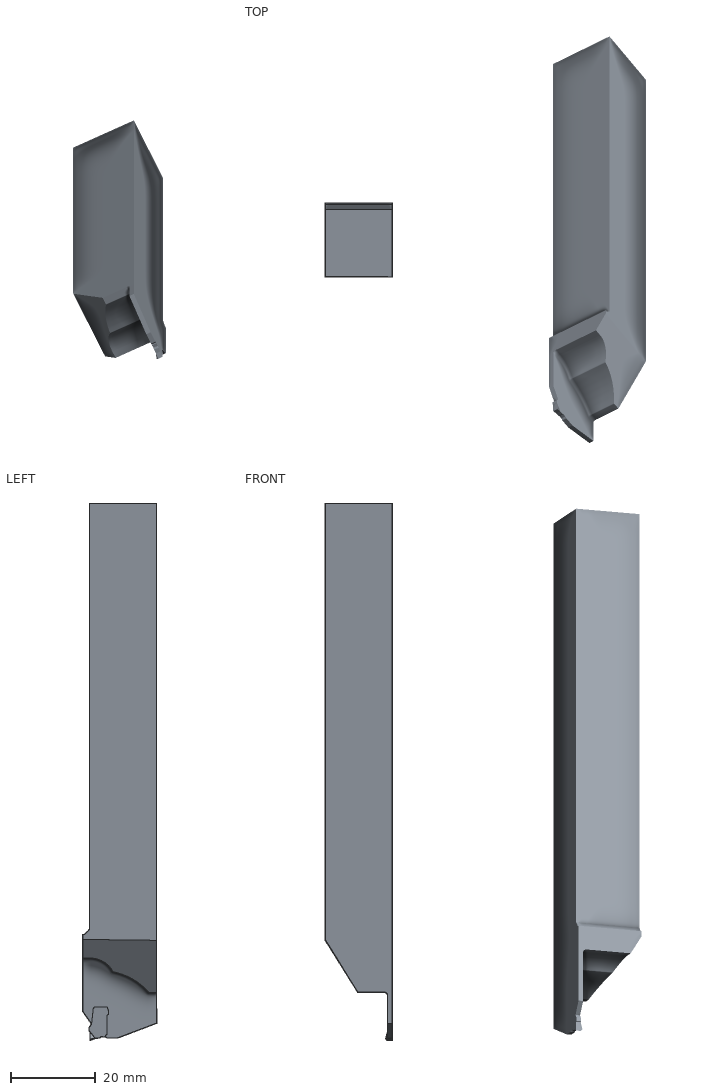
import cadquery as cq


shank_size = 15.88
overall_length = 127.0
overall_width = 17.56
blade_bulge = 0.05
head_y = overall_width - blade_bulge
head_top_z = 25.1
head_root_chamfer = 1.2

slope_top_z = 23.7
slope_tilt = 0.7
slope_end_x = 7.7

blade_thickness = 1.15
blade_x = shank_size - blade_thickness
blade_fillet = 0.8
blade_back_z = 4.1
blade_bottom_z = 0.6
blade_bottom_y = 9.2
blade_nose_z = 6.9

low_ledge_end = (1.88, 11.4)
long_arc_mid = (5.7, 14.55)
arc_corner = (10.33, 16.25)
high_ledge_start = (15.7, 19.5)
kink_radius = 0.3
low_ledge_z = low_ledge_end[1]
high_ledge_z = high_ledge_start[1]

seat_front = (15.4, 3.9)
seat_back_y = 11.8
insert_top_z = 8.0
insert_top_front_y = 14.7
insert_top_back_y = 11.75
front_bevel = (15.0, 7.5)
back_lug_y = 11.35
back_lug_z = (7.0, 6.3, 5.9)
heel_z = 1.5
heel = (12.3, 0.8)
heel_step = (13.1, 0.9)
heel_toe = (13.5, 0.6)
flank_root = (14.5, 0.5)
cutting_corner = (15.8, 0.0)
rake_top = (15.8, 2.1)
lip_y = 16.0
lip_z = (2.3, 3.1)
flare_width = 0.45
flare_tip = (15.8, 0.4)

clearance = 1.0


def prism_x(outline, x_start, x_end):
    """Extrude a closed (Y, Z) outline between two X positions."""
    return outline.extrude(x_end - x_start).translate((x_start, 0, 0))


def tetrahedron(corners):
    """Solid with four triangular faces."""
    faces = []
    for left_out in range(len(corners)):
        triangle = [cq.Vector(*c) for i, c in enumerate(corners) if i != left_out]
        faces.append(cq.Face.makeFromWires(cq.Wire.makePolygon(triangle, close=True)))
    return cq.Solid.makeSolid(cq.Shell.makeShell(faces))


def make_insert():
    lug_top_z, lug_bottom_z, lug_root_z = back_lug_z
    lip_bottom_z, lip_top_z = lip_z
    outline = cq.Workplane("YZ").polyline([
        seat_front,
        front_bevel,
        (insert_top_front_y, insert_top_z),
        (insert_top_back_y, insert_top_z),
        (back_lug_y, lug_top_z),
        (back_lug_y, lug_bottom_z),
        (seat_back_y, lug_root_z),
        (seat_back_y, heel_z),
        heel,
        heel_step,
        heel_toe,
        flank_root,
        cutting_corner,
        rake_top,
        (lip_y, lip_bottom_z),
        (lip_y, lip_top_z),
    ]).close()
    body = prism_x(outline, blade_x, shank_size)

    flare = tetrahedron([
        (blade_x, *rake_top),
        (blade_x, *flank_root),
        (blade_x, *cutting_corner),
        (blade_x - flare_width, *flare_tip),
    ])
    return body.union(cq.Workplane(flare))


def make_blank():
    """Full-thickness side profile of the shank, head and blade."""
    outline = (
        cq.Workplane("YZ")
        .moveTo(0, overall_length)
        .lineTo(0, low_ledge_z)
        .tangentArcPoint((-blade_bulge, blade_back_z), relative=False)
        .lineTo(blade_bottom_y, blade_bottom_z)
        .lineTo(seat_back_y, blade_bottom_z)
        .lineTo(*seat_front)
        .lineTo(head_y, blade_nose_z)
        .lineTo(head_y, head_top_z)
        .lineTo(shank_size + head_root_chamfer, head_top_z)
        .lineTo(shank_size, head_top_z + head_root_chamfer)
        .lineTo(shank_size, overall_length)
        .close()
    )
    return prism_x(outline, 0, shank_size)


def make_blade_relief():
    """Space beside the blade, rounded where the ledge runs into the blade."""
    y_min = -clearance
    y_max = head_y + clearance
    outline = (
        cq.Workplane("YZ")
        .moveTo(y_max, high_ledge_z)
        .lineTo(*high_ledge_start)
        .tangentArcPoint(arc_corner, relative=False)
        .threePointArc(long_arc_mid, low_ledge_end)
        .lineTo(y_min, low_ledge_z)
        .lineTo(y_min, -clearance)
        .lineTo(y_max, -clearance)
        .close()
    )
    relief = prism_x(outline, -clearance, blade_x)
    middle_x = (blade_x - clearance) / 2
    for kink in (low_ledge_end, arc_corner):
        nearest = cq.NearestToPointSelector((middle_x, *kink))
        relief = relief.edges("|X").edges(nearest).fillet(kink_radius)

    lowest_z = low_ledge_z - kink_radius
    ledge_root = cq.selectors.BoxSelector(
        (-clearance, y_min - clearance, lowest_z),
        (shank_size, y_max + clearance, high_ledge_z + clearance),
        boundingbox=True,
    )
    return relief.faces(">X").edges(ledge_root).fillet(blade_fillet)


def make_slope_cut():
    """Wedge that cuts the oblique side face."""
    return (
        cq.Workplane("XZ", origin=(0, -clearance, 0))
        .moveTo(0, slope_top_z)
        .lineTo(slope_end_x, low_ledge_z)
        .lineTo(slope_end_x, -clearance)
        .lineTo(-clearance, -clearance)
        .lineTo(-clearance, slope_top_z)
        .close()
        .extrude(-(head_y + 2 * clearance))
        .rotate((0, 0, slope_top_z), (1, 0, slope_top_z), slope_tilt)
    )


insert = make_insert()
holder = make_blank().cut(make_blade_relief()).cut(make_slope_cut()).cut(insert)

result = cq.Compound.makeCompound([holder.solids().val(), insert.solids().val()])